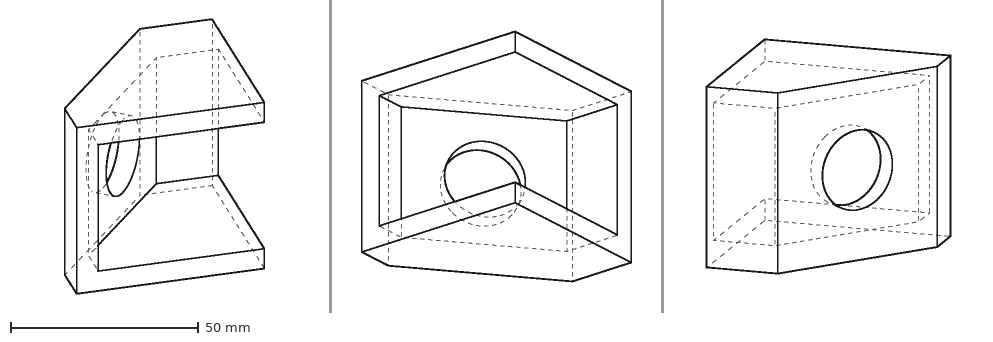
import cadquery as cq
import math

width = 50.0
depth = 52.15
height = 50.0

left_wall_length = 20.0
front_wall_length = 11.5
thickness = 6.0
hole_diameter = 22.0

slope_run = width - front_wall_length
slope_rise = depth - left_wall_length
slope_angle = math.atan2(slope_rise, slope_run)


def corner_block(left, front, left_corner_y, front_corner_x, bottom, top):
    """Rectangular block with its left-front corner cut off by the slope."""
    outline = [
        (left, depth),
        (left, left_corner_y),
        (front_corner_x, front),
        (width, front),
        (width, depth),
    ]
    return cq.Workplane("XY").workplane(offset=bottom).polyline(outline).close().extrude(top - bottom)


body = corner_block(0, 0, slope_rise, slope_run, 0, height)

left_corner_shift = thickness * math.tan((math.pi / 2 - slope_angle) / 2)
front_corner_shift = thickness * math.tan(slope_angle / 2)
cavity = corner_block(
    thickness,
    thickness,
    slope_rise + left_corner_shift,
    slope_run + front_corner_shift,
    thickness,
    height - thickness,
)

inward = cq.Vector(math.sin(slope_angle), math.cos(slope_angle), 0)
slope_center = cq.Vector(slope_run / 2, slope_rise / 2, height / 2)
hole = cq.Solid.makeCylinder(
    hole_diameter / 2,
    2 * thickness,
    slope_center - inward * (thickness / 2),
    inward,
)

result = body.cut(cavity).cut(cq.Workplane(obj=hole))